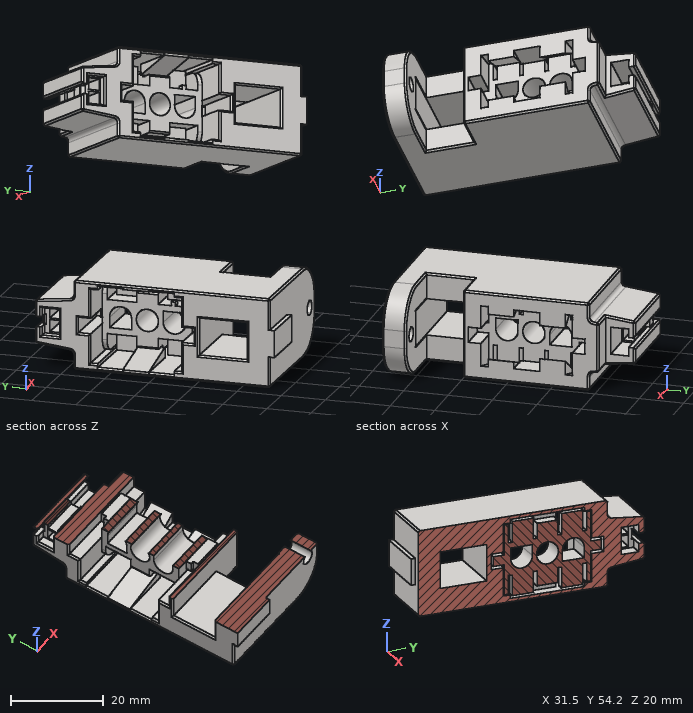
import cadquery as cq

height = 20.0
half_height = height / 2
edge_bevel = 0.4
lug_reach = 31.5
lug_thickness = 5.35
lug_corner_radius = 8.0
lug_hole_diameter = 3.2
lug_hole_x = 27.7
notch_floor_x = 16.2
main_front_y = 16.05
main_depth = 24.4
main_rear_y = 46.55
tail_depth = 19.1
tail_end_y = 53.15
shoulder_y = 44.45
shoulder_half_height = 5.85
tail_end_half_height = 4.9
shoulder_radius = 1.1
pad_length = 12.1
pad_half_width = 3.05
pad_thickness = 54.2 - tail_end_y

window_y = (5.2, 16.05)
window_half_height = 4.2

cavity_y = 30.35
ramp_half_width = 2.9
bay_outer = 8.65
cavity_half_length = 10.3
cavity_half_height = 8.3
bay_half_height = 9.1
rear_wall_x = 18.95
ramp_length = 11.4
ramp_start_z = 9.05
ramp_end_z = 6.7
slot_reach = 13.1
slot_half_height = 1.75

end_opening = (cavity_half_height, 6.9)
rear_bay_opening = (7.25, 3.8)
front_bay_opening = (7.25, 5.15)

insert_x = 8.1
insert_half_length = 10.2
core_half_height = 3.85
arm_inner = 9.1
arm_half_height = 8.2
arm_corner_radius = 6.0 / 2
hole_diameter = 5.0
hole_pitch = 6.05
hole_flat = 2.45
tongue_half_width = 2.45
tongue_half_height = 6.4
flange_half_height = 7.3
block_x = 12.2
block_y = (3.25, 8.3)
block_half_height = 8.65
key_offset = -5.9
key_width = 0.9
key_height = 0.85
key_length = 1.6
clip_x = 10.85
clip_step = 0.8
clip_middle = 11.5
clip_reach = 12.75
clip_half_height = 1.2

tail_pocket_y = (47.7, 51.7)
tail_pocket_half_height = 3.1
tail_slot_half_height = 1.15
tail_insert_x = 2.15
tail_insert_back_x = 10.85
tail_window_y = (47.95, 50.5)
tail_windows_z = ((-2.7, 0.0), (0.4, 2.9))
latch_start_y = 51.35
latch_crest_y = 52.05
latch_tip_y = 52.3
latch_slope_length = 0.7
latch_length = 3.25


def block(x_range, y_range, z_range):
    """Box between two limits along each axis."""
    limits = (x_range, y_range, z_range)
    sizes = [high - low for low, high in limits]
    return cq.Workplane("XY").box(*sizes, centered=False).translate([low for low, _ in limits])


def about(half):
    """Limits lying evenly about zero."""
    return (-half, half)


def prism_along_y(points, y_range):
    """Extrude an XZ outline between two Y limits."""
    low, high = y_range
    return cq.Workplane("XZ", origin=(0, low, 0)).polyline(points).close().extrude(low - high)


def bevelled_opening(y_range, half_z, depth):
    """Cutter for a rectangular opening in the X = 0 face with a bevelled mouth."""
    y_low, y_high = y_range
    mouth = (
        cq.Workplane("YZ", origin=(0, (y_low + y_high) / 2, 0))
        .rect(y_high - y_low + 2 * edge_bevel, 2 * (half_z + edge_bevel))
        .extrude(edge_bevel, taper=45)
    )
    return block((0, depth), y_range, about(half_z)).union(mouth)


def housing_blank():
    plan = [
        (0, 0),
        (lug_reach, 0),
        (lug_reach, lug_thickness),
        (notch_floor_x, lug_thickness),
        (notch_floor_x, main_front_y),
        (main_depth, main_front_y),
        (main_depth, main_rear_y),
        (tail_depth, main_rear_y),
        (tail_depth, tail_end_y),
        (0, tail_end_y),
    ]
    blank = cq.Workplane("XY", origin=(0, 0, -half_height)).polyline(plan).close().extrude(height)

    side_outline = [
        (0, -half_height),
        (shoulder_y, -half_height),
        (shoulder_y, -shoulder_half_height),
        (tail_end_y, -tail_end_half_height),
        (tail_end_y, tail_end_half_height),
        (shoulder_y, shoulder_half_height),
        (shoulder_y, half_height),
        (0, half_height),
    ]
    side = cq.Workplane("YZ").polyline(side_outline).close().extrude(lug_reach)
    shoulder_box = cq.selectors.BoxSelector(
        (-0.55, shoulder_y - 0.55, -shoulder_half_height - 0.55),
        (lug_reach + 0.55, shoulder_y + 0.55, shoulder_half_height + 0.55),
    )
    side = side.edges("|X").edges(shoulder_box).fillet(shoulder_radius)

    lug_plate = block((0, lug_reach), (0, lug_thickness), about(half_height))
    lug_plate = lug_plate.edges(">X and |Y").fillet(lug_corner_radius)
    main_box = block((0, main_depth), (lug_thickness, tail_end_y), about(half_height))
    return blank.intersect(side).intersect(lug_plate.union(main_box))


def bevel_outside(blank):
    """Bevel every outer edge, leaving inner corners and smooth seams plain."""
    beyond = lug_reach + main_depth
    seam = shoulder_radius + edge_bevel
    inner_corners = (
        (notch_floor_x, lug_thickness),
        (notch_floor_x, main_front_y),
        (tail_depth, main_rear_y),
    )
    plain = [
        cq.selectors.BoxSelector((x - 0.05, y - 0.05, -0.55), (x + 0.05, y + 0.05, 0.55)) for x, y in inner_corners
    ]
    plain.append(
        cq.selectors.BoxSelector(
            (notch_floor_x, edge_bevel, -beyond), (beyond, lug_thickness - edge_bevel, beyond)
        )
    )
    for side in (-1, 1):
        plain.append(
            cq.selectors.BoxSelector(
                (0.55, shoulder_y - 0.55, side * (shoulder_half_height - 0.55)),
                (main_depth - 0.55, shoulder_y + seam, side * (shoulder_half_height + seam)),
            )
        )
    bevelled = cq.selectors.StringSyntaxSelector("#X or #Y or #Z or |X or %CIRCLE")
    for spot in plain:
        bevelled = bevelled - spot
    return blank.edges(bevelled).chamfer(edge_bevel)


def mirrored_strips(inner, outer):
    """The two Y ranges at these offsets on either side of the cavity centre."""
    return ((cavity_y - outer, cavity_y - inner), (cavity_y + inner, cavity_y + outer))


def rear_opening(y_range, half_heights):
    """Cutter for a stretch of the rear opening whose height shrinks toward the back."""
    entry, leave = half_heights
    outline = [
        (rear_wall_x, -entry),
        (main_depth, -leave),
        (main_depth, leave),
        (rear_wall_x, entry),
    ]
    return prism_along_y(outline, y_range)


def cut_main_cavity(body):
    for strip in mirrored_strips(bay_outer, cavity_half_length):
        body = body.cut(bevelled_opening(strip, cavity_half_height, rear_wall_x))
        body = body.cut(rear_opening(strip, end_opening))

    bays = mirrored_strips(ramp_half_width, bay_outer)
    for strip, opening in zip(bays, (front_bay_opening, rear_bay_opening)):
        bay_mouth = [
            (0, -bay_half_height - edge_bevel),
            (edge_bevel, -bay_half_height),
            (rear_wall_x, -bay_half_height),
            (rear_wall_x, bay_half_height),
            (edge_bevel, bay_half_height),
            (0, bay_half_height + edge_bevel),
        ]
        body = body.cut(prism_along_y(bay_mouth, strip))
        body = body.cut(rear_opening(strip, opening))

    for strip in mirrored_strips(cavity_half_length, slot_reach):
        body = body.cut(bevelled_opening(strip, slot_half_height, main_depth))

    ramp_strip = (cavity_y - ramp_half_width, cavity_y + ramp_half_width)
    ramp_outline = [
        (0, -ramp_start_z),
        (ramp_length, -ramp_end_z),
        (ramp_length, ramp_end_z),
        (0, ramp_start_z),
    ]
    body = body.cut(prism_along_y(ramp_outline, ramp_strip))
    body = body.cut(block((ramp_length, rear_wall_x), ramp_strip, about(bay_half_height)))
    return body.cut(block((rear_wall_x, main_depth), ramp_strip, about(ramp_end_z)))


def cut_tail_pocket(body):
    body = body.cut(bevelled_opening(tail_pocket_y, tail_pocket_half_height, tail_depth))
    slot = block((0, tail_depth), (tail_pocket_y[1], tail_end_y), about(tail_slot_half_height))
    slot_mouth = (
        cq.Workplane("XZ", origin=(tail_depth / 2, tail_end_y, 0))
        .rect(tail_depth + 2 * edge_bevel, 2 * (tail_slot_half_height + edge_bevel))
        .extrude(edge_bevel, taper=45)
    )
    return body.cut(slot).cut(slot_mouth)


def make_housing():
    body = bevel_outside(housing_blank())
    body = body.union(block((0, pad_length), (-pad_thickness, edge_bevel), about(pad_half_width)))
    body = body.cut(bevelled_opening(window_y, window_half_height, main_depth))
    body = cut_main_cavity(body)
    body = cut_tail_pocket(body)
    lug_hole = (
        cq.Workplane("XZ", origin=(lug_hole_x, 0, 0))
        .circle(lug_hole_diameter / 2)
        .extrude(-lug_thickness)
    )
    return body.cut(lug_hole)


def insert_hole(offset, flat_side):
    """Hole through the main insert; flat_side is +1 or -1 for a D with its flat up or down, 0 for round."""
    radius = hole_diameter / 2
    depth = rear_wall_x - insert_x
    hole = cq.Workplane("YZ", origin=(insert_x, cavity_y + offset, 0)).circle(radius).extrude(depth)
    if flat_side:
        square_end = (
            cq.Workplane("YZ", origin=(insert_x, cavity_y + offset, flat_side * hole_flat / 2))
            .rect(hole_diameter, hole_flat)
            .extrude(depth)
        )
        beyond_flat = block(
            (insert_x, rear_wall_x),
            (cavity_y + offset - radius, cavity_y + offset + radius),
            sorted((flat_side * hole_flat, flat_side * hole_diameter)),
        )
        hole = hole.union(square_end).cut(beyond_flat)
    return hole


def make_main_insert():
    depth_range = (insert_x, rear_wall_x)
    body = block(
        depth_range,
        (cavity_y - insert_half_length, cavity_y + insert_half_length),
        about(core_half_height),
    )

    for strip in mirrored_strips(arm_inner, insert_half_length):
        arm = block(depth_range, strip, about(arm_half_height))
        body = body.union(arm.edges("<X and |Y").fillet(arm_corner_radius))

    for strip in mirrored_strips(*block_y):
        body = body.union(block((block_x, rear_wall_x), strip, about(block_half_height)))

    tongue_strip = (cavity_y - tongue_half_width, cavity_y + tongue_half_width)
    tongue = block(depth_range, tongue_strip, about(tongue_half_height))
    body = body.union(tongue.edges("<X and |Y").chamfer(edge_bevel))
    body = body.union(block((ramp_length, rear_wall_x), tongue_strip, about(flange_half_height)))

    key_y = cavity_y + key_offset
    body = body.union(
        block(
            (insert_x, insert_x + key_length),
            (key_y - key_width / 2, key_y + key_width / 2),
            (0, core_half_height + key_height),
        )
    )

    clip_levels = ((clip_x, clip_middle), (clip_x + clip_step, clip_reach))
    for front_x, reach in clip_levels:
        for strip in mirrored_strips(insert_half_length, reach):
            body = body.union(block((front_x, rear_wall_x), strip, about(clip_half_height)))

    for offset, flat_side in ((-hole_pitch, 1), (0, 0), (hole_pitch, -1)):
        body = body.cut(insert_hole(offset, flat_side))
    return body


def make_tail_insert():
    depth_range = (tail_insert_x, tail_insert_back_x)
    body = block(depth_range, tail_pocket_y, about(tail_pocket_half_height))

    body = body.cut(
        block(depth_range, (latch_start_y, tail_pocket_y[1]), about(tail_slot_half_height))
    )
    latch_outline = [
        (tail_insert_x, latch_start_y),
        (tail_insert_x + latch_slope_length, latch_crest_y),
        (tail_insert_x + latch_slope_length, latch_tip_y),
        (tail_insert_x + latch_length, latch_tip_y),
        (tail_insert_x + latch_length, latch_start_y),
    ]
    latch = (
        cq.Workplane("XY", origin=(0, 0, -tail_slot_half_height))
        .polyline(latch_outline)
        .close()
        .extrude(2 * tail_slot_half_height)
    )
    body = body.union(latch)

    for z_range in tail_windows_z:
        body = body.cut(block(depth_range, tail_window_y, z_range))
    return body


housing = make_housing()
main_insert = make_main_insert()
tail_insert = make_tail_insert()

result = cq.Compound.makeCompound([housing.val(), main_insert.val(), tail_insert.val()])